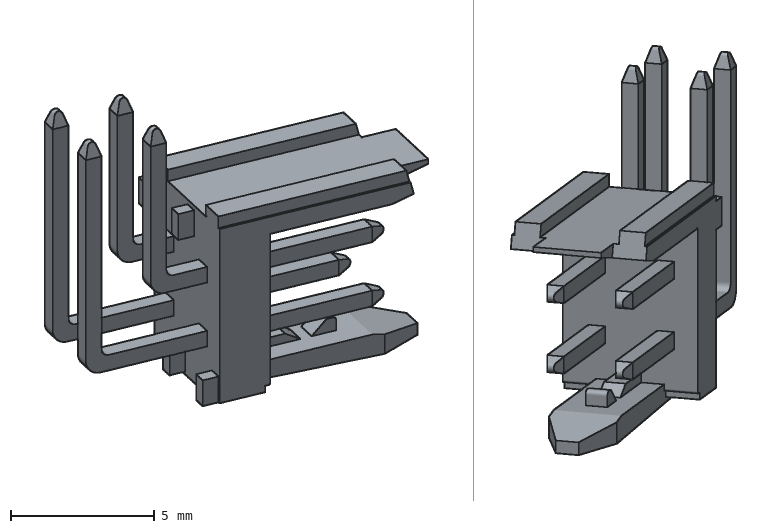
import cadquery as cq
import math


PITCH = 2.54

PEG_WIDTH = 0.5
PEG_HEIGHT = 1.03
PEG_LENGTH = 0.62
PEG_SHIFT = 0.935
UPPER_PEG_TOP = 4.62

BODY_WIDTH = 4.99
BODY_LEFT = -PITCH / 2 - PEG_SHIFT - PEG_WIDTH / 2
BODY_CENTER = BODY_LEFT + BODY_WIDTH / 2
WALL_THICKNESS = 2.0
WALL_BOTTOM = -2.11
STEP_DEPTH = 0.2
STEP_HEIGHT = 0.25
WALL_CORNER_RADIUS = 0.1
ROOF_TOP = 4.81
ROOF_UNDERSIDE = 4.125
FRONT_Y = 8.835
ROOF_LEAD_IN_Y = 6.77

RIB_TOP = 5.27
RIB_INSET = 0.09
GROOVE_WIDTH = 2.91
TONGUE_WIDTH = 2.5
TONGUE_TIP_BOTTOM = 4.62
RIB_END_TOP_Y = 7.38
RIB_END_SLOPE = 0.25

LATCH_WIDTH = 2.5
LATCH_TIP_WIDTH = 0.84
LATCH_TOP = -1.61
LATCH_TIP_TOP = -2.1
LATCH_TIP_BOTTOM = -2.565
LATCH_ROOT_BOTTOM = -2.23
LATCH_LEAD_IN_Y = 6.63
LATCH_TAPER_Y = 7.13

RIDGE_WIDTH = 0.8
RIDGE_FRONT_Y = 5.66
RIDGE_TOP = -1.07
RIDGE_CREST_Y = 5.27
RIDGE_REAR_Y = 4.69
RIDGE_ROUND = 0.15
RAMP_FRONT_Y = 4.25
RAMP_REAR_Y = 3.65
RAMP_TOP = -1.25

PIN_SIZE = 0.62
PIN_FRONT_Y = 7.03
PIN_TIP_LENGTH = 0.55
PIN_TIP_SIZE = 0.25
BEND_OUTER_RADIUS = 0.58
BEND_INNER_RADIUS = 0.29
SHORT_TAIL_Y = -1.905
SHORT_TAIL_TOP = 8.72
LONG_TAIL_TOP = 8.81


def box(x_min, x_max, y_min, y_max, z_min, z_max):
    size = (x_max - x_min, y_max - y_min, z_max - z_min)
    return cq.Workplane("XY").box(*size, centered=False).translate((x_min, y_min, z_min))


def side_prism(points, x_center, width):
    """Extrude a closed (y, z) outline along X, centred on x_center."""
    outline = cq.Workplane("YZ", origin=(x_center, 0, 0)).polyline(points).close()
    return outline.extrude(width / 2, both=True)


def roof_underside(y):
    """Height of the sloping lead-in under the roof at a given y."""
    slope = (TONGUE_TIP_BOTTOM - ROOF_UNDERSIDE) / (FRONT_Y - ROOF_LEAD_IN_Y)
    return ROOF_UNDERSIDE + slope * (y - ROOF_LEAD_IN_Y)


def make_wall():
    step_y = WALL_THICKNESS - STEP_DEPTH
    step_z = WALL_BOTTOM + STEP_HEIGHT
    outline = [
        (0, WALL_BOTTOM),
        (step_y, WALL_BOTTOM),
        (step_y, step_z),
        (WALL_THICKNESS, step_z),
        (WALL_THICKNESS, ROOF_TOP),
        (0, ROOF_TOP),
    ]
    wall = side_prism(outline, BODY_CENTER, BODY_WIDTH)
    corner = cq.selectors.NearestToPointSelector((BODY_CENTER, WALL_THICKNESS, step_z))
    return wall.edges("|X").edges(corner).fillet(WALL_CORNER_RADIUS)


def make_roof():
    tongue = side_prism(
        [
            (0, ROOF_TOP),
            (FRONT_Y, ROOF_TOP),
            (FRONT_Y, TONGUE_TIP_BOTTOM),
            (ROOF_LEAD_IN_Y, ROOF_UNDERSIDE),
            (0, ROOF_UNDERSIDE),
        ],
        BODY_CENTER,
        TONGUE_WIDTH,
    )

    rib_end_drop = RIB_TOP - roof_underside(RIB_END_TOP_Y)
    ledge_y = RIB_END_TOP_Y + RIB_END_SLOPE * rib_end_drop
    slab = side_prism(
        [
            (0, RIB_TOP),
            (RIB_END_TOP_Y, RIB_TOP),
            (ledge_y, roof_underside(ledge_y)),
            (ROOF_LEAD_IN_Y, ROOF_UNDERSIDE),
            (0, ROOF_UNDERSIDE),
        ],
        BODY_CENTER,
        BODY_WIDTH,
    )
    groove_half = GROOVE_WIDTH / 2
    rib_half = BODY_WIDTH / 2 - RIB_INSET
    body_half = BODY_WIDTH / 2
    reliefs = [(-groove_half, groove_half), (rib_half, body_half), (-body_half, -rib_half)]
    for left, right in reliefs:
        relief = box(BODY_CENTER + left, BODY_CENTER + right, 0, FRONT_Y, ROOF_TOP, RIB_TOP)
        slab = slab.cut(relief)
    return slab.union(tongue)


def make_latch():
    arm = side_prism(
        [
            (0, LATCH_ROOT_BOTTOM),
            (FRONT_Y, LATCH_TIP_BOTTOM),
            (FRONT_Y, LATCH_TIP_TOP),
            (LATCH_LEAD_IN_Y, LATCH_TOP),
            (0, LATCH_TOP),
        ],
        BODY_CENTER,
        LATCH_WIDTH,
    )
    half = LATCH_WIDTH / 2
    tip_half = LATCH_TIP_WIDTH / 2
    plan = (
        cq.Workplane("XY", origin=(BODY_CENTER, 0, LATCH_TIP_BOTTOM))
        .polyline(
            [
                (-half, 0),
                (half, 0),
                (half, LATCH_TAPER_Y),
                (tip_half, FRONT_Y),
                (-tip_half, FRONT_Y),
                (-half, LATCH_TAPER_Y),
            ]
        )
        .close()
        .extrude(LATCH_TOP - LATCH_TIP_BOTTOM)
    )
    return arm.intersect(plan)


def make_ridge():
    ridge = side_prism(
        [
            (RIDGE_FRONT_Y, LATCH_TOP),
            (RIDGE_FRONT_Y, RIDGE_TOP),
            (RIDGE_CREST_Y, RIDGE_TOP),
            (RIDGE_REAR_Y, LATCH_TOP),
        ],
        BODY_CENTER,
        RIDGE_WIDTH,
    )
    ridge = ridge.faces(">Z").edges("|X").fillet(RIDGE_ROUND)
    ramp = side_prism(
        [
            (0, LATCH_TOP),
            (RAMP_FRONT_Y, LATCH_TOP),
            (RAMP_REAR_Y, RAMP_TOP),
            (0, RAMP_TOP),
        ],
        BODY_CENTER,
        RIDGE_WIDTH,
    )
    return ridge.union(ramp)


def make_peg(x_center, z_bottom):
    half = PEG_WIDTH / 2
    z_top = z_bottom + PEG_HEIGHT
    return box(x_center - half, x_center + half, -PEG_LENGTH, 0, z_bottom, z_top)


def make_tip():
    """Tapered pin end pointing along +Z from the origin, fully rounded about X."""
    half = PIN_SIZE / 2
    end_half = PIN_TIP_SIZE / 2
    flat_taper = (
        cq.Workplane("XZ")
        .polyline(
            [
                (-half, 0),
                (half, 0),
                (end_half, PIN_TIP_LENGTH),
                (-end_half, PIN_TIP_LENGTH),
            ]
        )
        .close()
        .extrude(half, both=True)
    )

    taper_angle = math.atan2(half - end_half, PIN_TIP_LENGTH)
    arc_half = end_half * (1 + math.sin(taper_angle))
    arc_start = PIN_TIP_LENGTH - end_half * math.cos(taper_angle)
    round_taper = (
        cq.Workplane("YZ")
        .moveTo(-half, 0)
        .lineTo(half, 0)
        .lineTo(arc_half, arc_start)
        .threePointArc((0, PIN_TIP_LENGTH), (-arc_half, arc_start))
        .close()
        .extrude(half, both=True)
    )
    return flat_taper.intersect(round_taper)


def make_pin(x, z, tail_y, tail_top):
    half = PIN_SIZE / 2
    front_y = PIN_FRONT_Y - PIN_TIP_LENGTH
    shank_top = tail_top - PIN_TIP_LENGTH
    shank = side_prism(
        [
            (front_y, z - half),
            (front_y, z + half),
            (tail_y + half, z + half),
            (tail_y + half, shank_top),
            (tail_y - half, shank_top),
            (tail_y - half, z - half),
        ],
        x,
        PIN_SIZE,
    )
    outer = cq.selectors.NearestToPointSelector((x, tail_y - half, z - half))
    shank = shank.edges("|X").edges(outer).fillet(BEND_OUTER_RADIUS)
    inner = cq.selectors.NearestToPointSelector((x, tail_y + half, z + half))
    shank = shank.edges("|X").edges(inner).fillet(BEND_INNER_RADIUS)

    mating_tip = make_tip().rotate((0, 0, 0), (1, 0, 0), -90).translate((x, front_y, z))
    tail_tip = make_tip().translate((x, tail_y, shank_top))
    return shank.union(mating_tip).union(tail_tip)


result = make_wall().union(make_roof()).union(make_latch()).union(make_ridge())

for column in (-1, 1):
    column_x = column * PITCH / 2
    result = result.union(make_peg(column_x - PEG_SHIFT, UPPER_PEG_TOP - PEG_HEIGHT))
    result = result.union(make_peg(column_x + PEG_SHIFT, WALL_BOTTOM))
    result = result.union(make_pin(column_x, PITCH, SHORT_TAIL_Y, SHORT_TAIL_TOP))
    result = result.union(make_pin(column_x, 0, SHORT_TAIL_Y - PITCH, LONG_TAIL_TOP))